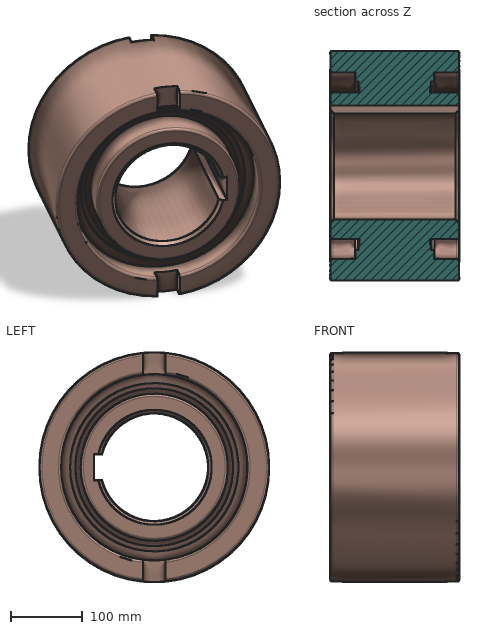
import cadquery as cq

width = 180.0
outer_radius = 160.0
edge_round = 4.0

recess_outer_radius = 129.5
recess_inner_radius = 102.5
recess_depth = 35.0

floor_steps = ((117.0, 39.0), (109.8, 40.5))

bore_radius = 75.0
bore_chamfer = 5.0
keyway_width = 36.0
keyway_reach = 83.5

slot_width = 32.0
slot_depth = 17.5

half_width = width / 2
end_directions = (-1, 1)


def tube(large_radius, small_radius, start, length):
    """Tube along X whose lower-X end is at the given start."""
    return (
        cq.Workplane("YZ", origin=(start, 0, 0))
        .circle(large_radius)
        .circle(small_radius)
        .extrude(length)
    )


def end_cut(large_radius, small_radius, depth, direction):
    """Annular cut of the given depth measured inward from one end face."""
    start = -half_width if direction < 0 else half_width - depth
    return tube(large_radius, small_radius, start, depth)


body = tube(outer_radius, bore_radius, -half_width, width)
for direction in end_directions:
    body = body.cut(end_cut(recess_outer_radius, recess_inner_radius, recess_depth, direction))
    for step_radius, step_depth in floor_steps:
        body = body.cut(end_cut(step_radius, recess_inner_radius, step_depth, direction))

end_edges = body.faces("<X or >X").edges()
bore_middle_radius = (bore_radius + recess_inner_radius) / 2
ring_edges = end_edges.filter(lambda edge: edge.radius() > bore_middle_radius)
body = ring_edges.fillet(edge_round)
bore_edges = (
    body.faces("<X or >X")
    .edges()
    .filter(lambda edge: edge.radius() < bore_middle_radius)
)
body = bore_edges.chamfer(bore_chamfer)

keyway = cq.Workplane("XY").box(width, keyway_reach, keyway_width, centered=(True, False, True))
body = body.cut(keyway)

slot_inner_radius = (recess_inner_radius + recess_outer_radius) / 2
slot_length = outer_radius - slot_inner_radius
slot_middle_radius = (outer_radius + slot_inner_radius) / 2
for direction in end_directions:
    for side in (-1, 1):
        slot = cq.Workplane("XY").box(slot_depth, slot_width, slot_length)
        slot_x = direction * (half_width - slot_depth / 2)
        body = body.cut(slot.translate((slot_x, 0, side * slot_middle_radius)))

result = body